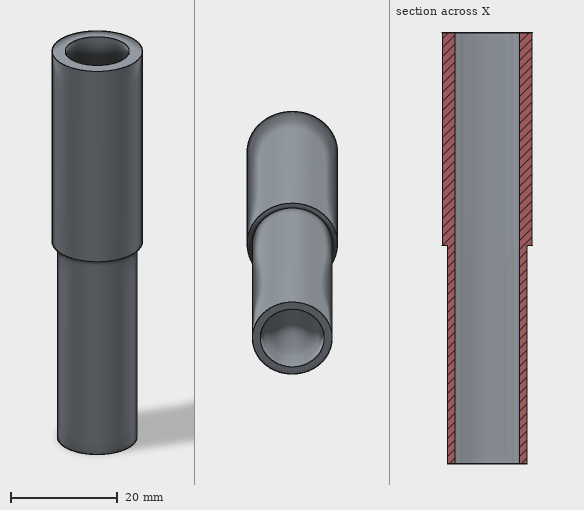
import cadquery as cq

sleeve_diameter = 17.0
sleeve_length = 40.0
spigot_diameter = 15.0
spigot_length = 41.0
bore_diameter = 12.0
total_length = spigot_length + sleeve_length


def cylinder(diameter, length, base_height=0.0):
    """Upright cylinder on the Z axis, starting at base_height."""
    return cq.Workplane("XY").workplane(offset=base_height).circle(diameter / 2).extrude(length)


spigot = cylinder(spigot_diameter, spigot_length)
sleeve = cylinder(sleeve_diameter, sleeve_length, spigot_length)

bore = cylinder(bore_diameter, total_length)

result = spigot.union(sleeve).cut(bore)